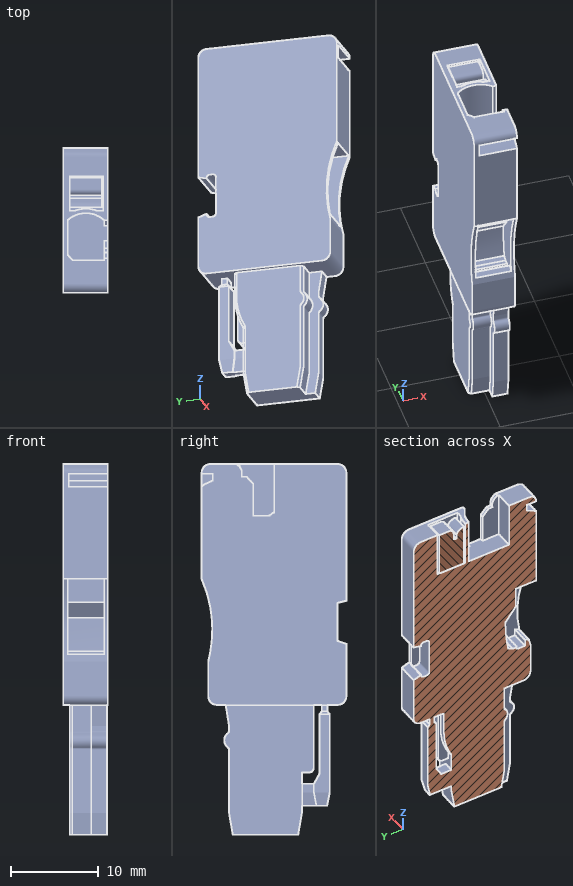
import cadquery as cq
import math

thickness = 5.1
depth = 16.5
top_z = 42.25
bottom_z = 14.8
corner_radius = 1.0
wall = 0.5
right_wall_x = 4.7

lower_front_y = 0.75
dimple_top_z = 29.15
dimple_deepest = (1.23, 23.35)
dimple_bottom_z = 19.77

notch_depth = 1.0
notch_mouth_z = (21.75, 26.65)
notch_floor_z = (22.1, 26.4)
side_pocket_y = (14.4, 15.5)
side_pocket_z = (21.67, 26.83)
side_pocket_depth = 4.65
side_pocket_radius = 0.4

hole_depth = 5.9
hole_front_y = 3.7
hole_shoulder_y = 8.3
hole_back_y = 9.1
hole_chamfer = (0.6, 0.65)
hole_center_x = (wall + right_wall_x) / 2
half_chord = (right_wall_x - wall) / 2
hole_sagitta = hole_back_y - hole_shoulder_y
hole_radius = (half_chord ** 2 + hole_sagitta ** 2) / (2 * hole_sagitta)
hole_center_y = hole_back_y - hole_radius
hole_floor_z = top_z - hole_depth
window_front_y = 3.95
window_round_middle = (4.35, top_z - 0.35)
window_step_y = (4.55, 5.1)
window_step_z = top_z - 1.45
window_floor_y = (5.9, 7.65)
window_low_z = top_z - 2.3
window_sill_z = hole_floor_z + 0.42

well_x = (0.75, 4.6)
well_y = (9.35, 13.25)
well_depth = 5.9
well_partition = 0.5
button_side_gap = 0.2
button_back_gap = 0.15
button_recess = 0.13
button_front_y = 9.75
button_round = 0.68
button_flat_front_y = 11.8
button_valley_front_y = 10.77
button_valley_z = top_z - 1.7
button_ridge_z = top_z - 0.4
button_ridge_middle = (10.45, top_z - 0.65)
button_ridge_back_z = top_z - 1.1

groove_x = 0.65
groove_back_y = 1.25
groove_roof_z = 41.15
groove_floor_z = 40.35
groove_bevel = (0.35, 39.93)
groove_lip_z = 39.65

pocket_roof_y = 2.75
pocket_slope_z = (24.7, 26.5)
pocket_back_y = 4.15
pocket_back_bow = 0.1
pocket_floor_back = (3.75, 20.58)
pocket_floor_crease_y = 3.2
pocket_floor_z = 20.32
pocket_floor_front_y = 2.6
pocket_groove_z = 20.03
pocket_lip_crest = (1.55, 20.9)
pocket_lip_middle = (1.1, 20.7)
pocket_lip_front = (0.7, 20.3)

plug_left_x = 0.75
plug_step_x = 3.2
plug_right_x = 5.03
plug_back_y = 11.45
plug_shoulder_y = 12.45
shoulder_top_z = 11.85
shoulder_bottom_z = 8.05
tip_taper_z = 2.5
tip_taper = 0.42
plug_chamfer = 0.3
left_front_y = 4.25
right_front_y = 3.13
right_root_y = 2.75
right_root_z = 12.4
bump_z = 10.77
bump_half_height = 0.9
left_bump_rise = 0.42
right_bump_rise = 0.55
left_bump_blend = 0.2
right_bump_blend = 0.35
tab_y = 12.8
tab_bottom_z = 7.1
tab_radius = 0.55

arm_x = (1.9, 3.95)
arm_y = (13.45, 14.6)
arm_foot_y = 12.8
arm_top_z = 13.75
arm_bend_z = 6.97
foot_top_z = 5.85
arm_taper_z = 4.8
arm_bottom_z = 3.3
arm_taper = 0.3
neck_inset = 0.25
neck_bottom_z = 14.05
foot_inset = 0.15


def side_sketch(x):
    """Workplane at the given X whose local axes are global Y and Z."""
    return cq.Workplane("YZ", origin=(x, 0, 0))


def prism(points, x_start, x_end):
    """Polygon given in (Y, Z), extruded along X."""
    return side_sketch(x_start).polyline(points).close().extrude(x_end - x_start)


def box(x_range, y_range, z_range):
    size = [end - start for start, end in (x_range, y_range, z_range)]
    return cq.Workplane("XY").box(*size, centered=False).translate((x_range[0], y_range[0], z_range[0]))


def housing_block():
    notch_y = depth - notch_depth
    block = (
        side_sketch(0)
        .moveTo(0, top_z)
        .lineTo(0, dimple_top_z)
        .threePointArc(dimple_deepest, (lower_front_y, dimple_bottom_z))
        .lineTo(lower_front_y, bottom_z)
        .lineTo(depth, bottom_z)
        .lineTo(depth, notch_mouth_z[0])
        .lineTo(notch_y, notch_floor_z[0])
        .lineTo(notch_y, notch_floor_z[1])
        .lineTo(depth, notch_mouth_z[1])
        .lineTo(depth, top_z)
        .close()
        .extrude(thickness)
    )
    block = block.edges("|X and (>Z or <Z)").fillet(corner_radius)
    side_pocket = box((0, side_pocket_depth), side_pocket_y, side_pocket_z)
    return block.cut(side_pocket.edges("|X").fillet(side_pocket_radius))


def wire_hole():
    chamfer_x, chamfer_y = hole_chamfer
    hole = (
        cq.Workplane("XY", origin=(0, 0, hole_floor_z))
        .moveTo(wall, hole_shoulder_y)
        .threePointArc((hole_center_x, hole_back_y), (right_wall_x, hole_shoulder_y))
        .lineTo(right_wall_x, hole_front_y)
        .lineTo(wall + chamfer_x, hole_front_y)
        .lineTo(wall, hole_front_y + chamfer_y)
        .close()
        .extrude(hole_depth)
    )
    window = (
        side_sketch(right_wall_x)
        .moveTo(window_front_y, top_z)
        .threePointArc(window_round_middle, (window_step_y[0], window_step_z))
        .lineTo(window_step_y[1], window_step_z)
        .lineTo(window_floor_y[0], window_low_z)
        .lineTo(window_floor_y[0], hole_floor_z)
        .lineTo(window_floor_y[1], hole_floor_z)
        .lineTo(hole_shoulder_y, window_sill_z)
        .lineTo(hole_shoulder_y, top_z)
        .close()
        .extrude(thickness - right_wall_x)
    )
    return hole.union(window)


def button_well():
    well = box(well_x, well_y, (top_z - well_depth, top_z))
    partition = (
        cq.Workplane("XY", origin=(hole_center_x, hole_center_y, top_z - well_depth))
        .circle(hole_radius + well_partition)
        .extrude(well_depth)
    )
    return well.cut(partition)


def marker_groove():
    profile = [
        (0, groove_roof_z),
        (groove_back_y, groove_roof_z),
        (groove_back_y, groove_floor_z),
        groove_bevel,
        (0, groove_lip_z),
    ]
    return prism(profile, groove_x, thickness)


def dimple_pocket():
    slope_bottom_z, slope_top_z = pocket_slope_z
    arc_middle = (pocket_back_y - pocket_back_bow, (slope_bottom_z + pocket_floor_back[1]) / 2)
    return (
        side_sketch(wall)
        .moveTo(0, dimple_top_z)
        .lineTo(pocket_roof_y, dimple_top_z)
        .lineTo(pocket_roof_y, slope_top_z)
        .lineTo(pocket_back_y, slope_bottom_z)
        .threePointArc(arc_middle, pocket_floor_back)
        .lineTo(pocket_floor_crease_y, pocket_floor_z)
        .lineTo(pocket_floor_front_y, pocket_floor_z)
        .lineTo(pocket_floor_front_y, pocket_groove_z)
        .lineTo(pocket_lip_crest[0], pocket_groove_z)
        .lineTo(*pocket_lip_crest)
        .threePointArc(pocket_lip_middle, pocket_lip_front)
        .lineTo(0, pocket_lip_front[1])
        .close()
        .extrude(right_wall_x - wall)
    )


def plug_bump(front_y, rise, x_start, x_end):
    """Snap bump: a round bar along X standing out of the front of the plug by `rise`."""
    radius = (bump_half_height ** 2 + rise ** 2) / (2 * rise)
    center_y = front_y - rise + radius
    return side_sketch(x_start).center(center_y, bump_z).circle(radius).extrude(x_end - x_start)


def add_bump(layer, front_y, rise, blend, x_start, x_end):
    layer = layer.union(plug_bump(front_y, rise, x_start, x_end))
    reach = 0.05
    corners = cq.selectors.BoxSelector(
        (x_start - reach, front_y - reach, bump_z - bump_half_height - reach),
        (x_end + reach, front_y + reach, bump_z + bump_half_height + reach),
    )
    return layer.edges("|X").edges(corners).fillet(blend)


def left_layer():
    shoulder_drop = shoulder_top_z - shoulder_bottom_z
    shoulder_step = plug_shoulder_y - plug_back_y
    arc_middle = (plug_shoulder_y - shoulder_step / 4, shoulder_top_z - shoulder_drop / 2)
    layer = (
        side_sketch(plug_left_x)
        .moveTo(left_front_y, bottom_z)
        .lineTo(left_front_y, tip_taper_z)
        .lineTo(left_front_y + tip_taper, 0)
        .lineTo(plug_back_y - tip_taper, 0)
        .lineTo(plug_back_y, tip_taper_z)
        .lineTo(plug_back_y, shoulder_bottom_z)
        .threePointArc(arc_middle, (plug_shoulder_y, shoulder_top_z))
        .lineTo(plug_shoulder_y, bottom_z)
        .close()
        .extrude(plug_step_x - plug_left_x)
    )
    layer = add_bump(layer, left_front_y, left_bump_rise, left_bump_blend, plug_left_x, plug_step_x)
    return layer.faces("<X").edges("not(<Z or >Z)").chamfer(plug_chamfer)


def right_layer():
    profile = [
        (right_root_y, bottom_z),
        (right_front_y, right_root_z),
        (right_front_y, tip_taper_z),
        (right_front_y + tip_taper, 0),
        (plug_back_y - tip_taper, 0),
        (plug_back_y, tip_taper_z),
        (plug_back_y, bottom_z),
    ]
    layer = prism(profile, plug_step_x, plug_right_x)
    layer = add_bump(layer, right_front_y, right_bump_rise, right_bump_blend, plug_step_x, plug_right_x)
    tab = box((plug_step_x, plug_right_x), (plug_back_y, tab_y), (tab_bottom_z, bottom_z))
    return layer.union(tab.edges("|X and >Y and <Z").fillet(tab_radius))


def tapered_sides(x_start, x_end):
    """Outline across X limiting the arm or foot: both X sides lean inwards at the bottom."""
    points = [
        (x_start, arm_top_z),
        (x_start, arm_taper_z),
        (x_start + arm_taper, arm_bottom_z),
        (x_end - arm_taper, arm_bottom_z),
        (x_end, arm_taper_z),
        (x_end, arm_top_z),
    ]
    return cq.Workplane("XZ").polyline(points).close().extrude(-depth)


def arm():
    inner_y, outer_y = arm_y
    profile = [
        (inner_y, arm_top_z),
        (inner_y, arm_bend_z),
        (arm_foot_y, foot_top_z),
        (arm_foot_y, arm_taper_z),
        (arm_foot_y + arm_taper, arm_bottom_z),
        (outer_y - arm_taper, arm_bottom_z),
        (outer_y, arm_taper_z),
        (outer_y, arm_top_z),
    ]
    bar = prism(profile, *arm_x).intersect(tapered_sides(*arm_x))

    foot_x = (arm_x[0] + foot_inset, arm_x[1] - foot_inset)
    foot_y = (plug_back_y - tip_taper, inner_y)
    foot = box(foot_x, foot_y, (arm_bottom_z, foot_top_z)).intersect(tapered_sides(*foot_x))

    bar_width = arm_x[1] - arm_x[0]
    bar_depth = outer_y - inner_y
    neck_width = bar_width - 2 * neck_inset
    neck_depth = bar_depth - 2 * neck_inset
    center = (sum(arm_x) / 2, sum(arm_y) / 2)
    shoulder = (
        cq.Workplane("XY", origin=(*center, arm_top_z))
        .rect(bar_width, bar_depth)
        .workplane(offset=neck_bottom_z - arm_top_z)
        .rect(neck_width, neck_depth)
        .loft()
    )
    neck = (
        cq.Workplane("XY", origin=(*center, neck_bottom_z))
        .rect(neck_width, neck_depth)
        .extrude(bottom_z - neck_bottom_z)
    )
    return bar.union(foot).union(shoulder).union(neck)


def make_housing():
    """Moulded housing with its plug and arm in one piece."""
    body = housing_block()
    for cavity in (wire_hole(), button_well(), marker_groove(), dimple_pocket()):
        body = body.cut(cavity)
    for member in (left_layer(), right_layer(), arm()):
        body = body.union(member)
    return body


def make_button():
    """Push button standing on the floor of the well, with a screwdriver valley across its top."""
    back_y = well_y[1] - button_back_gap
    button_top_z = top_z - button_recess
    round_end = (button_flat_front_y - button_round, button_top_z - button_round)
    diagonal = button_round * math.sqrt(0.5)
    round_middle = (button_flat_front_y - diagonal, button_top_z - button_round + diagonal)
    return (
        side_sketch(well_x[0])
        .moveTo(button_front_y, top_z - well_depth)
        .lineTo(back_y, top_z - well_depth)
        .lineTo(back_y, button_top_z)
        .lineTo(button_flat_front_y, button_top_z)
        .threePointArc(round_middle, round_end)
        .lineTo(round_end[0], button_valley_z)
        .lineTo(button_valley_front_y, button_valley_z)
        .lineTo(button_valley_front_y, button_ridge_back_z)
        .threePointArc(button_ridge_middle, (button_front_y, button_ridge_z))
        .close()
        .extrude(well_x[1] - button_side_gap - well_x[0])
    )

housing = make_housing()
button = make_button()

result = cq.Compound.makeCompound([housing.val(), button.val()])